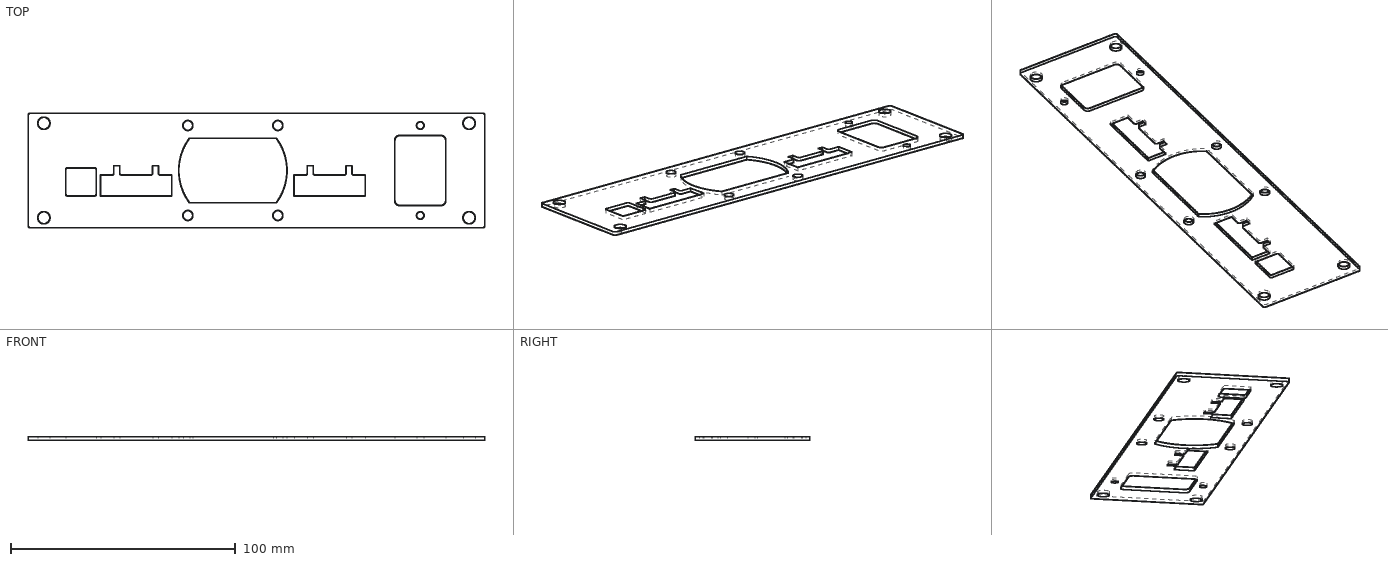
import cadquery as cq

PANEL_LENGTH = 203.0
PANEL_WIDTH = 51.0
PANEL_THICKNESS = 1.6
PANEL_CORNER_RADIUS = 1.0

MOUNT_HOLE_DIAMETER = 5.3
MOUNT_SPACING_X = 189.0
MOUNT_SPACING_Y = 42.0

FAN_CENTER_X = -10.5
FAN_OPENING_DIAMETER = 48.0
FAN_OPENING_HEIGHT = 28.6
FAN_HOLE_DIAMETER = 4.3
FAN_HOLE_SPACING = 40.0

INLET_CENTER_X = 72.8
INLET_WIDTH = 22.5
INLET_HEIGHT = 31.0
INLET_CORNER_RADIUS = 2.0
INLET_HOLE_DIAMETER = 3.2
INLET_HOLE_SPACING = 40.0

OPENINGS_BOTTOM_Y = -11.3

SOCKET_CENTER_X = -78.0
SOCKET_WIDTH = 13.5
SOCKET_HEIGHT = 12.4
SOCKET_CORNER_RADIUS = 0.8

SLOT_CENTERS_X = (-53.5, 32.5)
SLOT_WIDTH = 31.5
SLOT_HEIGHT = 9.2
NOTCH_WIDTH = 2.5
NOTCH_DEPTH = 4.2
NOTCH_SPACING = 17.2
NOTCH_ROOT_RADIUS = 1.0


def rectangular_cutter(width, height, center_x, center_y):
    """Box through the full panel thickness."""
    box = cq.Workplane("XY").box(width, height, PANEL_THICKNESS, centered=(True, True, False))
    return box.translate((center_x, center_y, 0))


def rounded_cutter(width, height, center_x, center_y, radius):
    """Rectangular cutter with rounded vertical edges."""
    return rectangular_cutter(width, height, center_x, center_y).edges("|Z").fillet(radius)


def hole_grid(diameter, center_x, spacing_x, spacing_y):
    """Four round cutters on a rectangle centred on the X axis."""
    return (
        cq.Workplane("XY")
        .center(center_x, 0)
        .rect(spacing_x, spacing_y, forConstruction=True)
        .vertices()
        .circle(diameter / 2)
        .extrude(PANEL_THICKNESS)
    )


def fan_opening():
    """Disc trimmed flat at the top and bottom."""
    circle = cq.Workplane("XY").center(FAN_CENTER_X, 0).circle(FAN_OPENING_DIAMETER / 2)
    disc = circle.extrude(PANEL_THICKNESS)
    band = rectangular_cutter(FAN_OPENING_DIAMETER, FAN_OPENING_HEIGHT, FAN_CENTER_X, 0)
    return disc.intersect(band)


def inlet_holes():
    """Screw holes above and below the power inlet."""
    offset = INLET_HOLE_SPACING / 2
    return (
        cq.Workplane("XY")
        .pushPoints([(INLET_CENTER_X, -offset), (INLET_CENTER_X, offset)])
        .circle(INLET_HOLE_DIAMETER / 2)
        .extrude(PANEL_THICKNESS)
    )


def connector_slot(center_x):
    """Slot with two notches whose root corners are rounded."""
    slot_top = OPENINGS_BOTTOM_Y + SLOT_HEIGHT
    slot = rectangular_cutter(SLOT_WIDTH, SLOT_HEIGHT, center_x, slot_top - SLOT_HEIGHT / 2)
    root_corners = []
    for side in (-1, 1):
        notch_x = center_x + side * NOTCH_SPACING / 2
        notch = rectangular_cutter(NOTCH_WIDTH, NOTCH_DEPTH, notch_x, slot_top + NOTCH_DEPTH / 2)
        slot = slot.union(notch)
        for edge in (-1, 1):
            root_corners.append((notch_x + edge * NOTCH_WIDTH / 2, slot_top, PANEL_THICKNESS / 2))
    for corner in root_corners:
        slot = slot.edges(cq.selectors.NearestToPointSelector(corner)).fillet(NOTCH_ROOT_RADIUS)
    return slot


panel = rounded_cutter(PANEL_LENGTH, PANEL_WIDTH, 0, 0, PANEL_CORNER_RADIUS)

cutters = [
    hole_grid(MOUNT_HOLE_DIAMETER, 0, MOUNT_SPACING_X, MOUNT_SPACING_Y),
    hole_grid(FAN_HOLE_DIAMETER, FAN_CENTER_X, FAN_HOLE_SPACING, FAN_HOLE_SPACING),
    fan_opening(),
    rounded_cutter(INLET_WIDTH, INLET_HEIGHT, INLET_CENTER_X, 0, INLET_CORNER_RADIUS),
    inlet_holes(),
    rounded_cutter(
        SOCKET_WIDTH,
        SOCKET_HEIGHT,
        SOCKET_CENTER_X,
        OPENINGS_BOTTOM_Y + SOCKET_HEIGHT / 2,
        SOCKET_CORNER_RADIUS,
    ),
]
for slot_center_x in SLOT_CENTERS_X:
    cutters.append(connector_slot(slot_center_x))

result = panel
for cutter in cutters:
    result = result.cut(cutter)